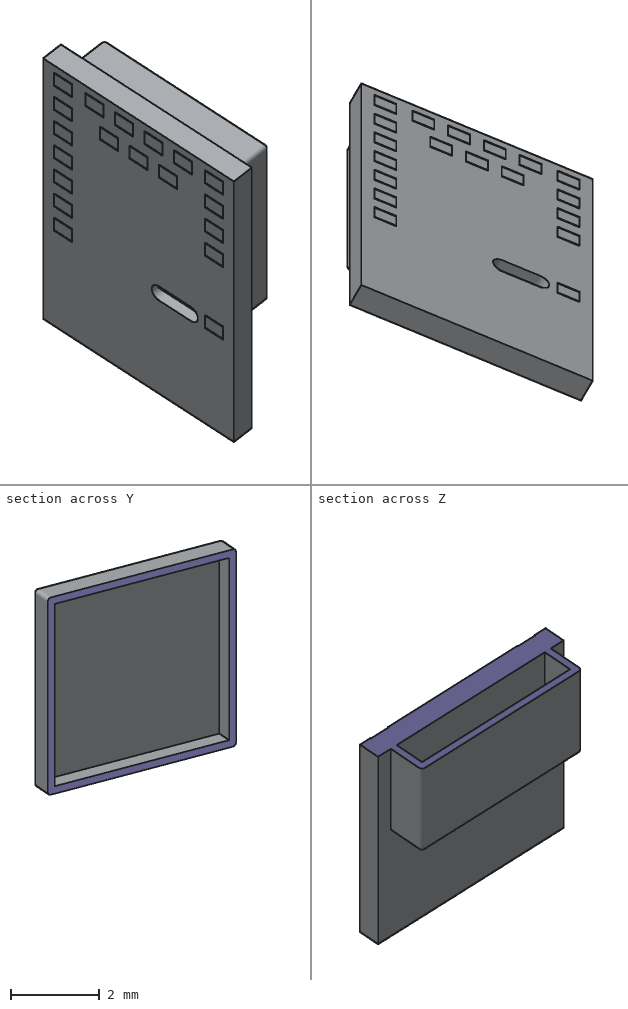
import cadquery as cq

BOARD_WIDTH = 5.8
BOARD_HEIGHT = 8.3
TOTAL_DEPTH = 1.6
BOARD_THICKNESS = 0.6

CAN_SIDE_MARGIN = 0.4
CAN_TOP_MARGIN = 0.3
CAN_HEIGHT = 4.905
CAN_EDGE_RADIUS = 0.1
CAN_WALL = 0.2
CAN_FRONT_Y = 0.2
CAN_WIDTH = BOARD_WIDTH - 2 * CAN_SIDE_MARGIN
CAN_DEPTH = TOTAL_DEPTH - CAN_FRONT_Y
CAN_CENTER_Z = BOARD_HEIGHT - CAN_TOP_MARGIN - CAN_HEIGHT / 2

PAD_WIDTH = 0.55
PAD_HEIGHT = 0.4
PAD_DEPTH = 0.02
PAD_SIDE_INSET = 0.61
PAD_TOP_INSET = 0.45
PAD_COLUMN_HEIGHT = 4.615
PAD_COLUMN_PITCH = 0.9
LEFT_COLUMN_ROWS = (0, 1, 2, 3, 4, 5, 6)
RIGHT_COLUMN_ROWS = (0, 1, 2, 3, 6)
TOP_ROW_COUNT = 4
SECOND_ROW_COUNT = 3
PAD_ROW_PITCH = PAD_COLUMN_HEIGHT / (len(LEFT_COLUMN_ROWS) - 1)

SLOT_LENGTH = 1.4
SLOT_HEIGHT = 0.45
SLOT_CENTER_X = 1.1
SLOT_CENTER_Z = 3.195


def block(width, depth, height, y_start, center_z):
    """Box centred on X that starts at y_start and runs toward +Y."""
    box = cq.Workplane("XY").box(width, depth, height, centered=(True, False, True))
    return box.translate((0, y_start, center_z))


def make_can():
    """Can open at the front, with rounded outer side corners and back edges."""
    can = block(CAN_WIDTH, CAN_DEPTH, CAN_HEIGHT, CAN_FRONT_Y, CAN_CENTER_Z)
    can = can.edges("|Y or >Y").fillet(CAN_EDGE_RADIUS)
    cavity = block(
        CAN_WIDTH - 2 * CAN_WALL,
        CAN_DEPTH - CAN_WALL,
        CAN_HEIGHT - 2 * CAN_WALL,
        CAN_FRONT_Y,
        CAN_CENTER_Z,
    )
    return can.cut(cavity)


def pad_centers():
    """X, Z centres of the two side columns and the two middle rows."""
    def row_z(row):
        return BOARD_HEIGHT - PAD_TOP_INSET - row * PAD_ROW_PITCH

    column_x = BOARD_WIDTH / 2 - PAD_SIDE_INSET
    centers = [(-column_x, row_z(row)) for row in LEFT_COLUMN_ROWS]
    centers += [(column_x, row_z(row)) for row in RIGHT_COLUMN_ROWS]
    for row, count in enumerate((TOP_ROW_COUNT, SECOND_ROW_COUNT)):
        for index in range(count):
            x = (index - (count - 1) / 2) * PAD_COLUMN_PITCH
            centers.append((x, row_z(row)))
    return centers


def make_pads():
    """Pad recesses; the XZ workplane faces -Y, so they extrude backward into the board."""
    pads = cq.Workplane("XZ").pushPoints(pad_centers()).rect(PAD_WIDTH, PAD_HEIGHT)
    return pads.extrude(-PAD_DEPTH)


def make_slot():
    """Slot as deep as the board is thick."""
    slot = cq.Workplane("XZ").center(SLOT_CENTER_X, SLOT_CENTER_Z).slot2D(SLOT_LENGTH, SLOT_HEIGHT)
    return slot.extrude(-BOARD_THICKNESS)


board = block(BOARD_WIDTH, BOARD_THICKNESS, BOARD_HEIGHT, 0, BOARD_HEIGHT / 2)
board = board.cut(make_pads()).cut(make_slot())

result = board.union(make_can())